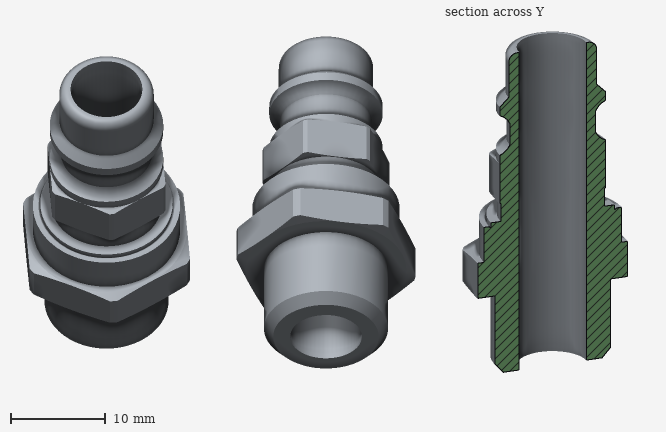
import cadquery as cq

bore_diameter = 7.6
tip_diameter = 10.0
groove_diameter = 9.75
collar_diameter = 12.0
neck_diameter = 11.8
rim_diameter = 14.0
body_diameter = 15.6
thread_diameter = 13.15

thread_chamfer_width = 1.0
thread_chamfer_height = 1.1
tip_round = 1.0

large_hex_bottom = 8.9
large_hex_top = 13.0
body_top = 17.0
rim_top = 17.4
small_hex_bottom = 19.4
small_hex_top = 24.0
lower_collar_top = 25.0
groove_bottom = 26.05
groove_top = 28.45
upper_collar_bottom = 29.5
upper_collar_top = 30.5
tip_bottom = 31.5
total_height = 36.5

rim_groove_width = 0.2
rim_groove_depth = 0.2

flare_hollow = 0.165

large_hex_flats = 17.0
large_hex_corners = 19.2
large_hex_bevel = 0.25
small_hex_flats = collar_diameter
small_hex_corners = 13.58
small_hex_bevel = 0.15


def stepped_body():
    """Revolve the outer profile of all the round sections about Z."""
    tip = tip_diameter / 2
    groove = groove_diameter / 2
    collar = collar_diameter / 2
    neck = neck_diameter / 2
    rim = rim_diameter / 2
    body = body_diameter / 2
    thread = thread_diameter / 2
    profile = (
        cq.Workplane("XZ")
        .lineTo(thread - thread_chamfer_width, 0)
        .lineTo(thread, thread_chamfer_height)
        .lineTo(thread, large_hex_top)
        .lineTo(body, large_hex_top)
        .lineTo(body, body_top)
        .lineTo(rim + rim_groove_width, body_top)
        .lineTo(rim, body_top - rim_groove_depth)
        .lineTo(rim, rim_top)
        .lineTo(neck, rim_top)
        .lineTo(neck, small_hex_top)
        .lineTo(collar, small_hex_top)
        .lineTo(collar, lower_collar_top)
        .sagittaArc((groove, groove_bottom), flare_hollow)
        .lineTo(groove, groove_top)
        .sagittaArc((collar, upper_collar_bottom), flare_hollow)
        .lineTo(collar, upper_collar_top)
        .lineTo(tip, tip_bottom)
        .lineTo(tip, total_height - tip_round)
        .tangentArcPoint((tip - tip_round, total_height), relative=False)
        .lineTo(0, total_height)
        .close()
    )
    return profile.revolve(360, (0, 0, 0), (0, 1, 0))


def hexagon(bottom, top, flats, corners, bevel):
    """Hexagonal prism with turned-down corners and both end faces beveled to the flats."""
    height = top - bottom
    prism = (
        cq.Workplane("XY", origin=(0, 0, bottom))
        .polygon(6, flats, circumscribed=True)
        .extrude(height)
    )
    flat_radius = flats / 2
    corner_radius = corners / 2
    turned_blank = (
        cq.Workplane("XZ", origin=(0, 0, bottom))
        .lineTo(flat_radius, 0)
        .lineTo(corner_radius, bevel)
        .lineTo(corner_radius, height - bevel)
        .lineTo(flat_radius, height)
        .lineTo(0, height)
        .close()
        .revolve(360, (0, 0, 0), (0, 1, 0))
    )
    return prism.intersect(turned_blank)


large_hex = hexagon(large_hex_bottom, large_hex_top, large_hex_flats, large_hex_corners, large_hex_bevel)
small_hex = hexagon(small_hex_bottom, small_hex_top, small_hex_flats, small_hex_corners, small_hex_bevel)
bore = cq.Workplane("XY").circle(bore_diameter / 2).extrude(total_height)

result = stepped_body().union(large_hex).union(small_hex).cut(bore)